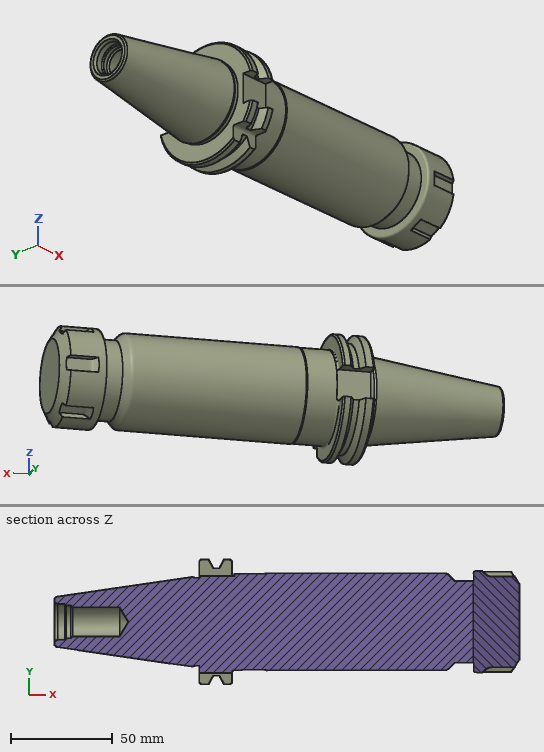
import cadquery as cq
import math


taper_ratio = 7 / 24
gauge_x = 67.8
gauge_radius = 22.1
small_end_radius = gauge_radius - gauge_x * taper_ratio / 2
small_end_chamfer = 1.0
relief_radius = 21.7
relief_chamfer_length = 1.1

flange_front_x = 71.0
flange_thickness = 16.2
flange_back_x = flange_front_x + flange_thickness
flange_radius = 31.7
flange_chamfer = 1.0
groove_root_radius = 27.6
groove_root_width = 3.0
groove_mouth_width = 7.5
groove_center_x = 79.5

slot_width = 16.0
slot_floor_front = 25.0
slot_floor_back = 22.5
notch_y = -18.5
notch_z = -18.0
notch_fillet = 1.1

front_radius = 24.0
step_x = 103.5
step_height = 0.2
step_length = 0.7
body_radius = front_radius - step_height
body_root_fillet = 1.1
shoulder_x = 192.6
shoulder_angle = 45
shoulder_fillet = 3.0
neck_radius = 20.0

mouth_radius = 9.5
mouth_chamfer_length = 1.5
counterbore_radius = 8.7
counterbore_depth = 5.0
thread_radius = 8.0
thread_entry_depth = 8.0
bore_radius = 7.0
bore_depth = 32.0
drill_point_angle = 118

total_length = 228.2
nut_back_x = 205.7
nut_diameter = 50.0
nut_radius = nut_diameter / 2
nut_back_fillet = 1.1
nut_front_radius = 18.5
nut_cone_length = 4.0

wrench_slot_count = 6
wrench_floor_radius = 22.4
wrench_floor_half_width = 3.2
wrench_flare_angle = 15
wrench_ramp_x = 213.0
wrench_ramp_angle = 40
wrench_ramp_fillet = 3.5

clearance = 4.5


def revolve_about_x(outline):
    """Turn a closed outline of (x, radius) points around the X axis."""
    return outline.close().revolve(360, (0, 0, 0), (1, 0, 0))


def turned_shank():
    """Taper, flange, body and neck as one turned solid."""
    bevel = small_end_chamfer
    edge = flange_chamfer
    half_mouth = groove_mouth_width / 2
    half_root = groove_root_width / 2
    shoulder_end_x = shoulder_x + front_radius - neck_radius
    bevel_radius = small_end_radius + bevel * taper_ratio / 2
    fillet_offset = body_root_fillet * (1 - math.sqrt(0.5))
    half_turn = math.radians(shoulder_angle / 2)
    tangent = shoulder_fillet * math.tan(half_turn)
    fillet_start_x = shoulder_x - tangent
    fillet_middle = (
        fillet_start_x + shoulder_fillet * math.sin(half_turn),
        front_radius - shoulder_fillet * (1 - math.cos(half_turn)),
    )
    fillet_end = (
        shoulder_x + tangent * math.sqrt(0.5),
        front_radius - tangent * math.sqrt(0.5),
    )
    outline = (
        cq.Workplane("XY")
        .moveTo(0, 0)
        .lineTo(0, bevel_radius - bevel)
        .lineTo(bevel, bevel_radius)
        .lineTo(gauge_x, gauge_radius)
        .lineTo(gauge_x + relief_chamfer_length, relief_radius)
        .lineTo(flange_front_x, relief_radius)
        .lineTo(flange_front_x, flange_radius - edge)
        .lineTo(flange_front_x + edge, flange_radius)
        .lineTo(groove_center_x - half_mouth, flange_radius)
        .lineTo(groove_center_x - half_root, groove_root_radius)
        .lineTo(groove_center_x + half_root, groove_root_radius)
        .lineTo(groove_center_x + half_mouth, flange_radius)
        .lineTo(flange_back_x - edge, flange_radius)
        .lineTo(flange_back_x, flange_radius - edge)
        .lineTo(flange_back_x, body_radius + body_root_fillet)
        .threePointArc(
            (flange_back_x + fillet_offset, body_radius + fillet_offset),
            (flange_back_x + body_root_fillet, body_radius),
        )
        .lineTo(step_x, body_radius)
        .lineTo(step_x + step_length, front_radius)
        .lineTo(fillet_start_x, front_radius)
        .threePointArc(fillet_middle, fillet_end)
        .lineTo(shoulder_end_x, neck_radius)
        .lineTo(nut_back_x, neck_radius)
        .lineTo(nut_back_x, 0)
    )
    return revolve_about_x(outline)


def draw_bar_bore():
    """Countersunk and stepped blind bore with a drill point, open at the small end."""
    thread_chamfer = counterbore_radius - thread_radius
    bore_chamfer = thread_radius - bore_radius
    point_length = bore_radius / math.tan(math.radians(drill_point_angle / 2))
    outline = (
        cq.Workplane("XY")
        .moveTo(0, 0)
        .lineTo(0, mouth_radius)
        .lineTo(mouth_chamfer_length, counterbore_radius)
        .lineTo(counterbore_depth, counterbore_radius)
        .lineTo(counterbore_depth + thread_chamfer, thread_radius)
        .lineTo(thread_entry_depth, thread_radius)
        .lineTo(thread_entry_depth + bore_chamfer, bore_radius)
        .lineTo(bore_depth, bore_radius)
        .lineTo(bore_depth + point_length, 0)
    )
    return revolve_about_x(outline)


def drive_slot(side, floor_distance):
    """Block that cuts one drive slot through the flange; side is -1 for -Y, +1 for +Y."""
    depth = flange_radius + clearance - floor_distance
    length = flange_thickness + body_root_fillet
    return cq.Workplane("XY").box(length, depth, slot_width).translate(
        (flange_front_x + length / 2, side * (floor_distance + depth / 2), 0)
    )


def orientation_notch():
    """Corner block with a rounded inner edge, cut from the -Y, -Z side of the flange."""
    reach = flange_radius + clearance
    return (
        cq.Workplane("YZ", origin=(flange_front_x, 0, 0))
        .moveTo(notch_y, notch_z)
        .lineTo(-reach, notch_z)
        .lineTo(-reach, -reach)
        .lineTo(notch_y, -reach)
        .close()
        .extrude(flange_thickness)
        .edges("|X and >Y and >Z")
        .fillet(notch_fillet)
    )


def make_holder():
    """Shank with its bore, drive slots and orientation notch."""
    return (
        turned_shank()
        .cut(draw_bar_bore())
        .cut(drive_slot(-1, slot_floor_front))
        .cut(drive_slot(1, slot_floor_back))
        .cut(orientation_notch())
    )


def wrench_slot(angle):
    """Flared slot cutter with a ramped inner end, turned by angle about X from -Y."""
    height = nut_radius + clearance - wrench_floor_radius
    top_radius = wrench_floor_radius + height
    half_top = wrench_floor_half_width + height * math.tan(math.radians(wrench_flare_angle))
    ramp_length = height / math.tan(math.radians(wrench_ramp_angle))
    end_x = total_length + clearance
    side_profile = (
        cq.Workplane("XY")
        .moveTo(wrench_ramp_x, -wrench_floor_radius)
        .lineTo(end_x, -wrench_floor_radius)
        .lineTo(end_x, -top_radius)
        .lineTo(wrench_ramp_x - ramp_length, -top_radius)
        .close()
        .extrude(half_top, both=True)
        .faces(">Y")
        .edges("<X")
        .fillet(wrench_ramp_fillet)
    )
    cross_section = (
        cq.Workplane("YZ", origin=(nut_back_x, 0, 0))
        .moveTo(-wrench_floor_radius, wrench_floor_half_width)
        .lineTo(-top_radius, half_top)
        .lineTo(-top_radius, -half_top)
        .lineTo(-wrench_floor_radius, -wrench_floor_half_width)
        .close()
        .extrude(end_x - nut_back_x)
    )
    return side_profile.intersect(cross_section).rotate((0, 0, 0), (1, 0, 0), angle)


def make_nut():
    """Nut with a rounded back edge, a conical front and wrench slots around it."""
    fillet_offset = nut_back_fillet * (1 - math.sqrt(0.5))
    outline = (
        cq.Workplane("XY")
        .moveTo(nut_back_x, 0)
        .lineTo(nut_back_x, nut_radius - nut_back_fillet)
        .threePointArc(
            (nut_back_x + fillet_offset, nut_radius - fillet_offset),
            (nut_back_x + nut_back_fillet, nut_radius),
        )
        .lineTo(total_length - nut_cone_length, nut_radius)
        .lineTo(total_length, nut_front_radius)
        .lineTo(total_length, 0)
    )
    nut = revolve_about_x(outline)
    for index in range(wrench_slot_count):
        nut = nut.cut(wrench_slot(index * 360 / wrench_slot_count))
    return nut


holder = make_holder()
nut = make_nut()

result = cq.Compound.makeCompound([holder.val(), nut.val()])